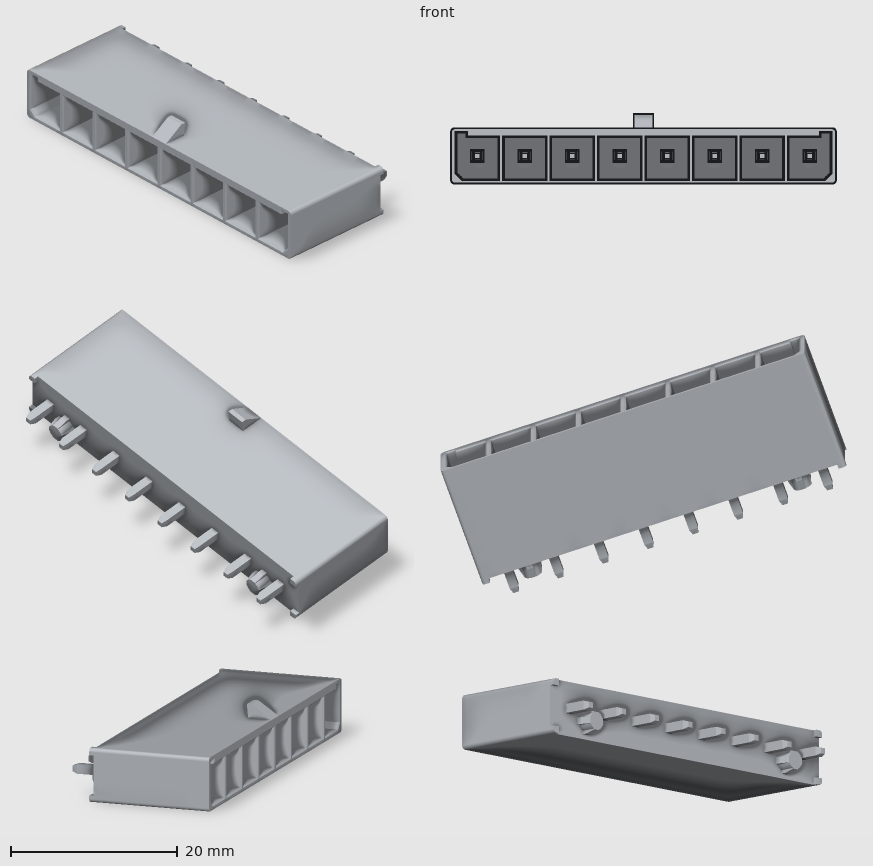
import cadquery as cq

HOUSING_LENGTH = 46.25
HOUSING_DEPTH = 14.75
HOUSING_HEIGHT = 6.65
EDGE_RADIUS = 0.45

FOOT_WIDTH = 0.95
FOOT_HEIGHT = 0.85
FOOT_LENGTH = 0.55

CELL_COUNT = 8
ROW_LENGTH = 39.9
CELL_PITCH = ROW_LENGTH / (CELL_COUNT - 1)
CELL_SIZE = 5.0
CELL_DEPTH = 11.1
MOUTH_BEVEL = 0.15
CELL_BOTTOM = 0.55
CELL_TOP = CELL_BOTTOM + CELL_SIZE
CELL_CENTRES = [i * CELL_PITCH - ROW_LENGTH / 2 for i in range(CELL_COUNT)]
END_CELL_EDGE = ROW_LENGTH / 2 + CELL_SIZE / 2

KEY_SLOT_WIDTH = 1.15
KEY_SLOT_HEIGHT = 0.55
KEY_CORNER = 0.75

PIN_WIDTH = 1.1
PIN_HEIGHT = 3.35
PIN_FRONT = 3.7
PIN_BACK = 18.5
PIN_TIP_LENGTH = 0.7
PIN_TIP_WIDTH = 0.7
LEAD_IN_WIDTH = 1.53
LEAD_IN_DEPTH = (LEAD_IN_WIDTH - PIN_WIDTH) / 2

LATCH_WIDTH = 2.35
LATCH_HEIGHT = 1.7
LATCH_CREST_FRONT = 2.6
LATCH_CREST_BACK = 3.2
LATCH_ROOT_BACK = 3.05

PEG_CORE_DIAMETER = 2.17
PEG_RIB_SPAN = 2.85
PEG_RIB_WIDTH = 0.85
PEG_LENGTH = 1.95
PEG_STRAIGHT_LENGTH = 0.65
PEG_HEIGHT = 2.05
PEG_OFFSET = ROW_LENGTH / 2 - CELL_PITCH / 2


def box(x_min, x_max, y_min, y_max, z_min, z_max):
    """Box given by its limits along each axis."""
    size = (x_max - x_min, y_max - y_min, z_max - z_min)
    return cq.Workplane("XY").box(*size, centered=False).translate((x_min, y_min, z_min))


def square_frustum(x, z, y_start, start_width, y_end, end_width):
    """Square bar along Y, changing evenly in width between its two ends."""
    return (
        cq.Workplane("XZ", origin=(x, y_start, z))
        .rect(start_width, start_width)
        .workplane(offset=y_start - y_end)
        .rect(end_width, end_width)
        .loft(ruled=True)
    )


def make_pin(x):
    """Square pin along Y with both ends tapered."""
    shank_front = PIN_FRONT + PIN_TIP_LENGTH
    shank_back = PIN_BACK - PIN_TIP_LENGTH
    front_tip = square_frustum(x, PIN_HEIGHT, PIN_FRONT, PIN_TIP_WIDTH, shank_front, PIN_WIDTH)
    shank = square_frustum(x, PIN_HEIGHT, shank_front, PIN_WIDTH, shank_back, PIN_WIDTH)
    back_tip = square_frustum(x, PIN_HEIGHT, shank_back, PIN_WIDTH, PIN_BACK, PIN_TIP_WIDTH)
    return front_tip.union(shank).union(back_tip)


def make_block():
    """Long block with rounded lengthwise edges and a foot on each corner of its back face."""
    half_length = HOUSING_LENGTH / 2
    back = HOUSING_DEPTH + FOOT_LENGTH
    block = box(-half_length, half_length, 0, back, 0, HOUSING_HEIGHT)
    block = block.edges("|Y").fillet(EDGE_RADIUS)
    inner_length = half_length - FOOT_WIDTH
    inner_top = HOUSING_HEIGHT - FOOT_HEIGHT
    between_ends = box(-inner_length, inner_length, HOUSING_DEPTH, back, 0, HOUSING_HEIGHT)
    between_levels = box(-half_length, half_length, HOUSING_DEPTH, back, FOOT_HEIGHT, inner_top)
    return block.cut(between_ends).cut(between_levels)


def make_latch():
    """Wedge rising from the front edge to a flat crest with a slightly undercut back."""
    crest = HOUSING_HEIGHT + LATCH_HEIGHT
    return (
        cq.Workplane("YZ", origin=(-LATCH_WIDTH / 2, 0, 0))
        .moveTo(0, HOUSING_HEIGHT)
        .lineTo(LATCH_CREST_FRONT, crest)
        .lineTo(LATCH_CREST_BACK, crest)
        .lineTo(LATCH_ROOT_BACK, HOUSING_HEIGHT)
        .close()
        .extrude(LATCH_WIDTH)
    )


def make_peg(x):
    """Round peg with four ribs that taper down to the core at the tip."""
    core_radius = PEG_CORE_DIAMETER / 2
    rib_radius = PEG_RIB_SPAN / 2
    core = cq.Workplane("XZ").circle(core_radius).extrude(-PEG_LENGTH)
    rib_pair = (
        cq.Workplane("XY", origin=(0, 0, -PEG_RIB_WIDTH / 2))
        .moveTo(-rib_radius, 0)
        .lineTo(rib_radius, 0)
        .lineTo(rib_radius, PEG_STRAIGHT_LENGTH)
        .lineTo(core_radius, PEG_LENGTH)
        .lineTo(-core_radius, PEG_LENGTH)
        .lineTo(-rib_radius, PEG_STRAIGHT_LENGTH)
        .close()
        .extrude(PEG_RIB_WIDTH)
    )
    upright_pair = rib_pair.rotate((0, 0, 0), (0, 1, 0), 90)
    peg = core.union(rib_pair).union(upright_pair)
    return peg.translate((x, HOUSING_DEPTH, PEG_HEIGHT))


def make_cell(x):
    """Space of one plain square cell."""
    half = CELL_SIZE / 2
    return box(x - half, x + half, 0, CELL_DEPTH, CELL_BOTTOM, CELL_TOP)


def make_end_cell(side):
    """Space of an end cell: slot above its outer edge, lower outer corner cut off."""
    outer = side * END_CELL_EDGE
    inner = side * (END_CELL_EDGE - CELL_SIZE)
    slot_inner = side * (END_CELL_EDGE - KEY_SLOT_WIDTH)
    corner_inner = side * (END_CELL_EDGE - KEY_CORNER)
    slot_top = CELL_TOP + KEY_SLOT_HEIGHT
    return (
        cq.Workplane("XZ")
        .moveTo(inner, CELL_BOTTOM)
        .lineTo(corner_inner, CELL_BOTTOM)
        .lineTo(outer, CELL_BOTTOM + KEY_CORNER)
        .lineTo(outer, slot_top)
        .lineTo(slot_inner, slot_top)
        .lineTo(slot_inner, CELL_TOP)
        .lineTo(inner, CELL_TOP)
        .close()
        .extrude(-CELL_DEPTH)
    )


def make_lead_in(x):
    """Flared mouth of a pin hole in the end wall of a cell."""
    lead_in_end = CELL_DEPTH + LEAD_IN_DEPTH
    return square_frustum(x, PIN_HEIGHT, CELL_DEPTH, LEAD_IN_WIDTH, lead_in_end, PIN_WIDTH)


def make_shell():
    """Block hollowed by the cells, with a bevel around the mouth of each."""
    shell = make_block()
    for side in (-1, 1):
        shell = shell.cut(make_end_cell(side))
    for x in CELL_CENTRES[1:-1]:
        shell = shell.cut(make_cell(x))
    front_face = shell.faces("<Y").val()
    mouth_edges = [edge for mouth in front_face.innerWires() for edge in mouth.Edges()]
    return shell.newObject(mouth_edges).chamfer(MOUTH_BEVEL)


def make_housing():
    """Shell with latch and pegs, pierced by holes that fit the pins."""
    housing = make_shell().union(make_latch())
    for side in (-1, 1):
        housing = housing.union(make_peg(side * PEG_OFFSET))
    for x in CELL_CENTRES:
        housing = housing.cut(make_lead_in(x)).cut(make_pin(x))
    return housing


housing = make_housing()
pins = [make_pin(x) for x in CELL_CENTRES]
result = cq.Compound.makeCompound([housing.val(), *[pin.val() for pin in pins]])